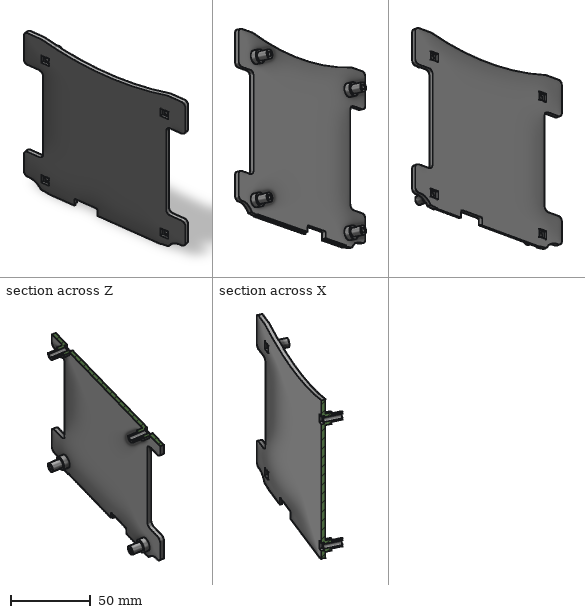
import cadquery as cq

width = 126.0
height = 118.5
plate_thickness = 3.0
corner_radius = 3.2

half_waist = 48.1
upper_ear_bottom = 93.6
lower_ear_top = 25.7

half_top_arc = 49.1
top_arc_sag = 6.2

ear_bottom = 6.3
scoop_start_x = 59.1
scoop_middle = (53.2, 4.5)
scoop_end = (49.9, 1.0)
foot_middle = (47.1, 0.6)
foot_end = (44.1, 0.4)

lip_thickness = 1.5
lip_step = 1.0

notch_left = -23.5
notch_right = -5.7
notch_height = 5.4
notch_radius = 1.0

pin_x = 46.5
pin_low_z = 9.5
pin_high_z = 103.0
boss_diameter = 9.0
boss_height = 4.0
pin_diameter = 6.0
pin_height = 7.4
hole_diameter = 3.0
pocket_width = 6.0
pocket_height = 5.5
pocket_depth = 2.0

boss_top = plate_thickness + boss_height
pin_top = boss_top + pin_height
pin_places = [(x, z) for x in (-pin_x, pin_x) for z in (pin_low_z, pin_high_z)]


def sketch_at(y):
    """Return an X-Z sketch plane at the given y; extruding by a negative length goes toward +Y."""
    return cq.Workplane("XZ", origin=(0, y, 0))


def mirrored(point):
    """Return the sketch point reflected about x = 0."""
    return (-point[0], point[1])


def box(x_min, x_max, y_min, y_max, z_min, z_max):
    """Return a box spanning the given limits."""
    size = (x_max - x_min, y_max - y_min, z_max - z_min)
    return cq.Workplane("XY").box(*size, centered=False).translate((x_min, y_min, z_min))


def make_eared_plate():
    """Return the plate above the ear undersides, with the same radius at every corner."""
    half_width = width / 2
    plate = box(-half_width, half_width, 0, plate_thickness, ear_bottom, height)
    for x_min, x_max in ((-half_width, -half_waist), (half_waist, half_width)):
        plate = plate.cut(box(x_min, x_max, 0, plate_thickness, lower_ear_top, upper_ear_bottom))
    top_arc = (
        sketch_at(0)
        .moveTo(-half_top_arc, height)
        .threePointArc((0, height - top_arc_sag), (half_top_arc, height))
        .close()
        .extrude(-plate_thickness)
    )
    return plate.cut(top_arc).edges("|Y").fillet(corner_radius)


def make_foot():
    """Return the strip between the scoops, with its stepped lower edge."""
    scoop_start = (scoop_start_x, ear_bottom)
    foot = (
        sketch_at(0)
        .moveTo(*mirrored(foot_end))
        .lineTo(*foot_end)
        .threePointArc(foot_middle, scoop_end)
        .threePointArc(scoop_middle, scoop_start)
        .lineTo(*mirrored(scoop_start))
        .threePointArc(mirrored(scoop_middle), mirrored(scoop_end))
        .threePointArc(mirrored(foot_middle), mirrored(foot_end))
        .close()
        .extrude(-plate_thickness)
    )
    half_lip = foot_end[0]
    lip = box(-half_lip, half_lip, 0, lip_thickness, 0, lip_step)
    relief = box(-half_lip, half_lip, lip_thickness, plate_thickness, 0, lip_step)
    return foot.union(lip).cut(relief)


def make_notch():
    """Return the cutter for the notch, with rounded upper corners."""
    notch = box(notch_left, notch_right, 0, plate_thickness, 0, notch_height)
    return notch.edges("|Y and >Z").fillet(notch_radius)


def rods(diameter, y_start, y_end):
    """Return a cylinder along Y at every pin place."""
    return sketch_at(y_start).pushPoints(pin_places).circle(diameter / 2).extrude(y_start - y_end)


def make_pockets():
    """Return the cutters for the nut pockets in the front face."""
    return sketch_at(0).pushPoints(pin_places).rect(pocket_width, pocket_height).extrude(-pocket_depth)


result = (
    make_eared_plate()
    .union(make_foot())
    .cut(make_notch())
    .union(rods(boss_diameter, plate_thickness, boss_top))
    .union(rods(pin_diameter, boss_top, pin_top))
    .cut(rods(hole_diameter, 0, pin_top))
    .cut(make_pockets())
)